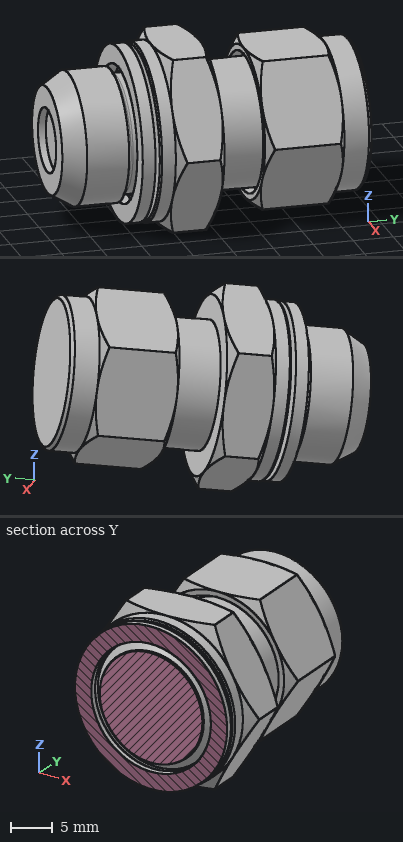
import cadquery as cq
import math

tip_cone_end = 2.65
thread_end = 7.9
washer_front = 8.85
washer_back = 10.45
collar_front = 11.02
body_hex_front = 12.95
body_hex_back = 19.05
nut_hex_front = 24.55
nut_hex_back = 34.45
total_length = 38.0

body_hex_flats = 22.0
nut_hex_flats = 18.9
hex_chamfer_angle = 30.0

tip_radius = 6.7
thread_radius = 8.3
groove_radius = 7.37
groove_front_angle = 60.0
groove_fillet = 0.38
shoulder_radius = 8.47
collar_radius = body_hex_flats / 2
collar_chamfer = 0.23
barrel_radius = 7.95
cap_radius = nut_hex_flats / 2
cap_chamfer = 0.45

recess_radius = 4.0
recess_depth = 1.0

nut_bore_radius = 8.65
nut_bore_depth = 1.52

washer_radius = 10.9
washer_bore_radius = 8.5


def revolve_about_y(points):
    """Turn a closed (radius, y) outline about the Y axis."""
    return cq.Workplane("XY").polyline(points).close().revolve(360, (0, 0, 0), (0, 1, 0))


def along_y(start):
    """Workplane at a Y station whose normal points toward +Y."""
    return cq.Workplane(cq.Plane(origin=(0, start, 0), xDir=(1, 0, 0), normal=(0, 1, 0)))


def chamfered_hex(flats, front, back):
    """Hexagonal prism whose corners are turned off conically at both ends."""
    corner_radius = flats / 2 / math.cos(math.radians(30))
    flat_radius = flats / 2
    chamfer_length = (corner_radius - flat_radius) * math.tan(math.radians(hex_chamfer_angle))
    prism = along_y(front).polygon(6, 2 * corner_radius).extrude(back - front)
    envelope = revolve_about_y([
        (0, front),
        (flat_radius, front),
        (corner_radius, front + chamfer_length),
        (corner_radius, back - chamfer_length),
        (flat_radius, back),
        (0, back),
    ])
    return prism.intersect(envelope)


def turned_core():
    """All the round sections of the fitting, turned as one outline."""
    slope = math.radians(groove_front_angle)
    cone_foot_radius = groove_radius + groove_fillet * (1 - math.cos(slope))
    cone_foot = thread_end + (thread_radius - cone_foot_radius) / math.tan(slope)
    floor_start = cone_foot + groove_fillet * math.sin(slope)
    fillet_middle = (
        groove_radius + groove_fillet * (1 - math.cos(slope / 2)),
        floor_start - groove_fillet * math.sin(slope / 2),
    )
    floor_end = collar_front - (shoulder_radius - groove_radius)

    outline = (
        cq.Workplane("XY")
        .lineTo(tip_radius, 0)
        .lineTo(thread_radius, tip_cone_end)
        .lineTo(thread_radius, thread_end)
        .lineTo(cone_foot_radius, cone_foot)
        .threePointArc(fillet_middle, (groove_radius, floor_start))
        .lineTo(groove_radius, floor_end)
        .lineTo(shoulder_radius, collar_front)
        .lineTo(collar_radius - collar_chamfer, collar_front)
        .lineTo(collar_radius, collar_front + collar_chamfer)
        .lineTo(collar_radius, body_hex_front)
        .lineTo(barrel_radius, body_hex_front)
        .lineTo(barrel_radius, nut_hex_back)
        .lineTo(cap_radius, nut_hex_back)
        .lineTo(cap_radius, total_length - cap_chamfer)
        .lineTo(cap_radius - cap_chamfer, total_length)
        .lineTo(0, total_length)
        .close()
    )
    return outline.revolve(360, (0, 0, 0), (0, 1, 0))


def make_fitting():
    """Threaded fitting with its hexagons, barrel and cap."""
    body_hex = chamfered_hex(body_hex_flats, body_hex_front, body_hex_back)
    nut_hex = chamfered_hex(nut_hex_flats, nut_hex_front, nut_hex_back)
    nut_bore = along_y(nut_hex_front).circle(nut_bore_radius).extrude(nut_bore_depth)
    nut_hex = nut_hex.cut(nut_bore)
    recess = along_y(0).circle(recess_radius).extrude(recess_depth)
    return turned_core().union(body_hex).union(nut_hex).cut(recess)


def make_washer():
    """Flat ring lying loose over the groove in front of the collar."""
    ring = along_y(washer_front).circle(washer_radius).circle(washer_bore_radius)
    return ring.extrude(washer_back - washer_front)


fitting = make_fitting()
washer = make_washer()
result = cq.Compound.makeCompound([fitting.val(), washer.val()])